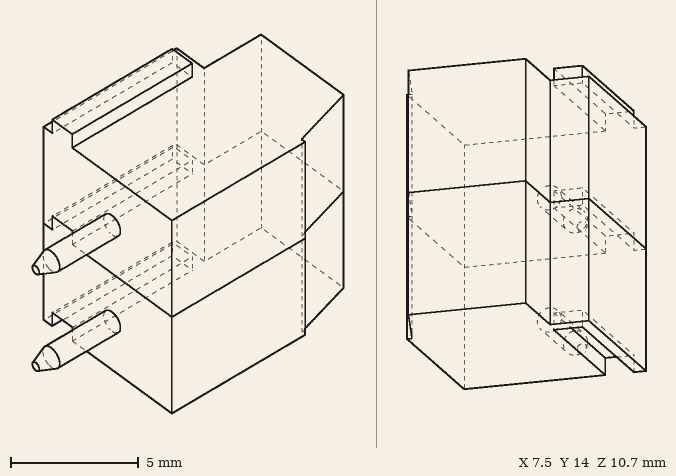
import cadquery as cq

pitch = 5.0
module_count = 2
housing_width = 7.5
housing_depth = 10.0
nose_depth = 3.0
nose_left = 1.6
nose_right_at_shoulder = 7.3
nose_right_at_back = 6.43

rail_left = 0.5
rail_width = 1.18
rail_length = 6.3
rail_height = 0.7

pin_x = 4.0
pin_z = pitch / 2
pin_length = 4.0
pin_radius = 1.0 / 2
tip_radius = 0.4 / 2
tip_length = 0.81


def make_housing():
    """Stepped block with a sloped side on its nose; front face on y = 0."""
    shoulder_y = housing_depth - nose_depth
    return (
        cq.Workplane("XY")
        .polyline([
            (0, 0),
            (housing_width, 0),
            (housing_width, shoulder_y),
            (nose_right_at_shoulder, shoulder_y),
            (nose_right_at_back, housing_depth),
            (nose_left, housing_depth),
            (nose_left, shoulder_y),
            (0, shoulder_y),
        ])
        .close()
        .extrude(pitch)
    )


def make_rail(base_z):
    """Rectangular bar used both as the raised rail and as the groove cutter."""
    return cq.Workplane("XY").box(
        rail_width, rail_length, rail_height, centered=False
    ).translate((rail_left, 0, base_z))


def make_pin():
    """Round pin with a conical tip, pointing along -Y."""
    profile = (
        cq.Workplane("XY")
        .polyline([
            (0, 0),
            (pin_radius, 0),
            (pin_radius, tip_length - pin_length),
            (tip_radius, -pin_length),
            (0, -pin_length),
        ])
        .close()
    )
    return profile.revolve(360, (0, 0), (0, 1)).translate((pin_x, 0, pin_z))


def make_terminal_module(base_z):
    module = make_housing().cut(make_rail(0)).union(make_rail(pitch)).union(make_pin())
    return module.translate((0, 0, base_z))


terminal_modules = []
for index in range(module_count):
    terminal_modules.append(make_terminal_module(index * pitch).val())

result = cq.Compound.makeCompound(terminal_modules)